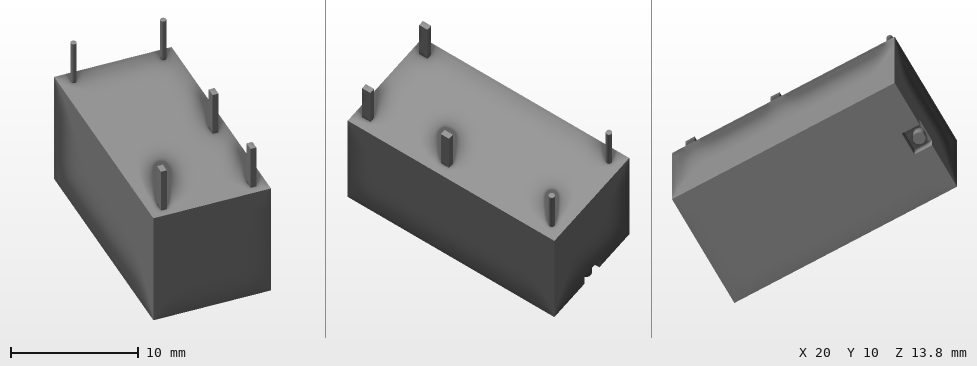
import cadquery as cq

body_length = 20.0
body_width = 10.0
body_height = 10.0

grid = 2.54
pin_height = 3.8
round_pin_diameter = 0.5
flat_pin_length = 0.8
flat_pin_width = 0.5
pin_end_x = 7 * grid / 2
pin_row_y = 3 * grid / 2
middle_pin_x = pin_end_x - 3 * grid

notch_width = 2.0
notch_height = 1.0
peg_diameter = 1.0
peg_inset = 0.6
notch_depth = peg_inset + notch_width / 2

round_pin_places = [(-pin_end_x, -pin_row_y), (-pin_end_x, pin_row_y)]
flat_pin_places = [(pin_end_x, -pin_row_y), (pin_end_x, pin_row_y), (middle_pin_x, pin_row_y)]


def make_body():
    return cq.Workplane("XY").box(body_length, body_width, body_height, centered=(True, True, False))


def make_notch():
    """Block removed from the body, open to the -X face and to the bottom."""
    notch = cq.Workplane("XY").box(notch_depth, notch_width, notch_height, centered=(False, True, False))
    return notch.translate((-body_length / 2, 0, 0))


def make_peg():
    """Round peg from the notch ceiling down to the level of the bottom face."""
    peg = cq.Workplane("XY").circle(peg_diameter / 2).extrude(notch_height)
    return peg.translate((-body_length / 2 + peg_inset, 0, 0))


def make_round_pins():
    top = cq.Workplane("XY").workplane(offset=body_height)
    return top.pushPoints(round_pin_places).circle(round_pin_diameter / 2).extrude(pin_height)


def make_flat_pins():
    top = cq.Workplane("XY").workplane(offset=body_height)
    return top.pushPoints(flat_pin_places).rect(flat_pin_length, flat_pin_width).extrude(pin_height)


result = make_body().cut(make_notch()).union(make_peg()).union(make_round_pins()).union(make_flat_pins())